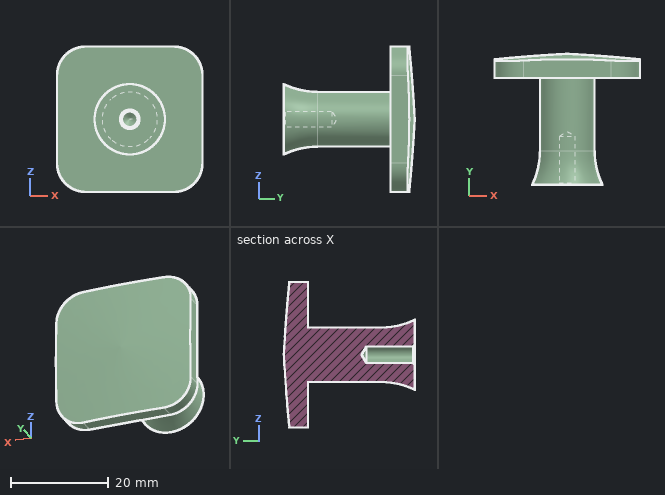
import cadquery as cq
import math

PLATE_SIDE = 30.0
CORNER_RADIUS = 6.0
PLATE_HEIGHT = 5.0

CROWN_RADIUS = 21.6
CROWN_MIDWAY_DROP = 0.75
CROWN_RIM_DROP = 1.9

STEM_DIAMETER = 11.3
STEM_LENGTH = 15.0
FOOT_DIAMETER = 14.5
FOOT_LENGTH = 7.0

HOLE_DIAMETER = 3.25
HOLE_DEPTH = 10.0
HOLE_MOUTH_DIAMETER = 4.0
DRILL_POINT_ANGLE = 118.0

FOOT_END_Y = -(STEM_LENGTH + FOOT_LENGTH)


def revolve_about_y(profile):
    """Turn a closed XY profile a full revolution about the Y axis."""
    return profile.revolve(360, (0, 0, 0), (0, 1, 0))


def make_plate():
    """Rounded square block trimmed by the peaked crown."""
    block = (
        cq.Workplane("XZ")
        .rect(PLATE_SIDE, PLATE_SIDE)
        .extrude(-PLATE_HEIGHT)
        .edges("|Y")
        .fillet(CORNER_RADIUS)
    )
    crown = revolve_about_y(
        cq.Workplane("XY")
        .moveTo(0, PLATE_HEIGHT)
        .threePointArc(
            (CROWN_RADIUS / 2, PLATE_HEIGHT - CROWN_MIDWAY_DROP),
            (CROWN_RADIUS, PLATE_HEIGHT - CROWN_RIM_DROP),
        )
        .lineTo(CROWN_RADIUS, 0)
        .lineTo(0, 0)
        .close()
    )
    return block.intersect(crown)


def make_stem():
    """Cylinder whose side runs tangentially into the flared foot."""
    stem_radius = STEM_DIAMETER / 2
    foot_radius = FOOT_DIAMETER / 2
    return revolve_about_y(
        cq.Workplane("XY")
        .lineTo(stem_radius, 0)
        .lineTo(stem_radius, -STEM_LENGTH)
        .tangentArcPoint((foot_radius, FOOT_END_Y), relative=False)
        .lineTo(0, FOOT_END_Y)
        .close()
    )


def make_hole():
    """Solid to cut away: 45 degree countersink, bore and drill point."""
    hole_radius = HOLE_DIAMETER / 2
    mouth_radius = HOLE_MOUTH_DIAMETER / 2
    countersink_depth = mouth_radius - hole_radius
    point_length = hole_radius / math.tan(math.radians(DRILL_POINT_ANGLE / 2))
    bore_end_y = FOOT_END_Y + HOLE_DEPTH
    return revolve_about_y(
        cq.Workplane("XY")
        .moveTo(0, FOOT_END_Y)
        .lineTo(mouth_radius, FOOT_END_Y)
        .lineTo(hole_radius, FOOT_END_Y + countersink_depth)
        .lineTo(hole_radius, bore_end_y)
        .lineTo(0, bore_end_y + point_length)
        .close()
    )


result = make_plate().union(make_stem()).cut(make_hole())